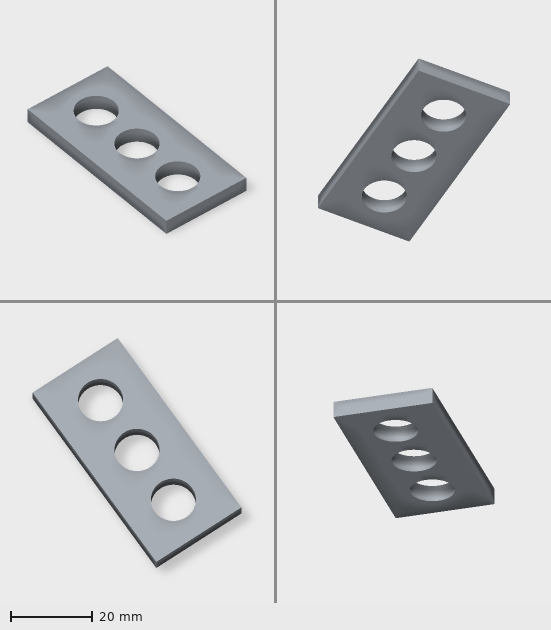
import cadquery as cq

length = 54.0
width = 25.4
thickness = 4.25

hole_diameter = 11.1
hole_spacing = 15.85
hole_count = 3


def make_plate():
    return cq.Workplane("XY").box(length, width, thickness)


def drill_hole_row(plate):
    return (
        plate.faces(">Z")
        .workplane()
        .rarray(hole_spacing, width, hole_count, 1)
        .hole(hole_diameter)
    )


result = drill_hole_row(make_plate())